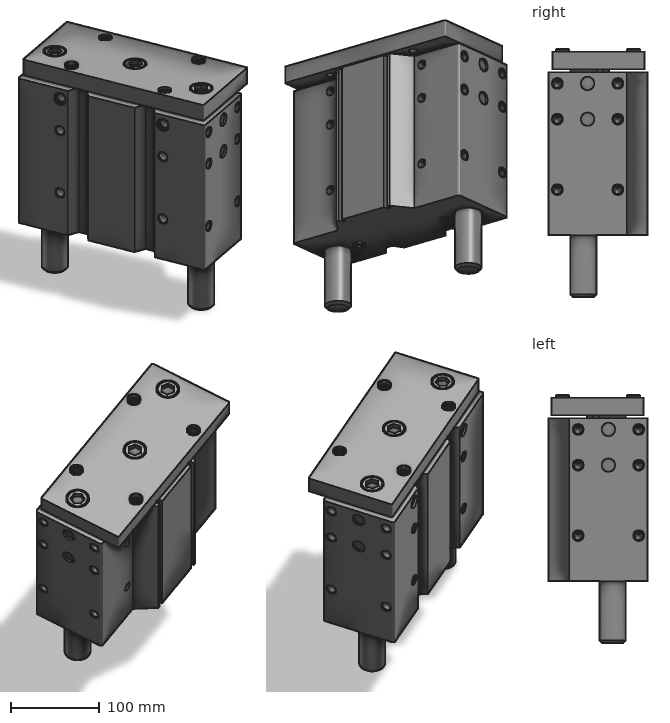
import cadquery as cq
import math

overall_height = 280.0
collar_rise = 3.0
plate_thickness = 20.0
plate_gap = 3.0
housing_height = 184.2
plate_top = overall_height - collar_rise
plate_bottom = plate_top - plate_thickness
housing_top = plate_bottom - plate_gap
housing_bottom = housing_top - housing_height

housing_width = 240.0
housing_depth = 112.0
front_y = -housing_depth / 2
back_y = housing_depth / 2
shoulder_y = 32.5
ridge_half_width = 38.5
ridge_foot_half_width = 55.5
corner_radius = 2.8
front_groove_center = 42.8
front_groove_mouth = 26.0
front_groove_floor = 11.5
front_groove_flank_angle = 60.0
sensor_slot_center = 32.7
sensor_slot_width = 5.0
sensor_slot_depth = 5.5

tapped_diameter = 10.0
countersink_diameter = 12.3
countersink_angle = 90.0
hole_heights = (241.0, 200.7, 121.2)
front_hole_x = 66.0
sleeve_diameter = 15.0
sleeve_seat_depth = 3.0
side_hole_depth = 25.2
drill_point_angle = 118.0
side_axis_y = -11.8
side_hole_offset = 34.1
port_diameter = 15.0
port_depth = 2.8
port_heights = hole_heights[:2]
foot_collar_rise = 2.0
foot_collar_x = 63.0

plate_width = 232.0
plate_back_y = 52.5
plate_front_y = -51.5
plate_corner_radius = 1.5
plate_hole_x = 60.0
plate_hole_y = 40.0
collar_chamfer = 0.8

guide_diameter = 30.0
guide_chamfer = 3.0
guide_x = 94.0
guide_y = -16.5
piston_rod_diameter = 25.0
piston_rod_flats = 22.5
piston_rod_depth = 140.0
screw_head_diameter = 24.0
screw_head_height = 16.0
screw_head_chamfer = 0.8
screw_shank_diameter = 16.8
screw_thread_depth = 28.0
screw_clearance_diameter = 18.0
screw_counterbore_diameter = 26.0
hex_across_flats = 14.0
hex_depth = 5.5
screw_tip = plate_bottom - screw_thread_depth

guide_places = [(-guide_x, guide_y), (guide_x, guide_y)]
rod_places = [guide_places[0], (0, 0), guide_places[1]]
socket_turns = (30, 30, 0)


def cylinder_z(x, y, diameter, bottom, top):
    """Upright cylinder between two heights."""
    disc = cq.Workplane("XY", origin=(x, y, bottom)).circle(diameter / 2)
    return disc.extrude(top - bottom)


def cone(start, direction, diameter, tip_angle):
    """Cone with its base at start and its point along direction."""
    height = diameter / 2 / math.tan(math.radians(tip_angle / 2))
    solid = cq.Solid.makeCone(diameter / 2, 0, height, cq.Vector(start), cq.Vector(direction))
    return cq.Workplane(obj=solid)


def bore(start, direction, diameter, depth):
    """Cylinder from start along direction."""
    solid = cq.Solid.makeCylinder(diameter / 2, depth, cq.Vector(start), cq.Vector(direction))
    return cq.Workplane(obj=solid)


def housing_block():
    """Extruded profile with a tapered ridge along the back."""
    half_width = housing_width / 2
    block = (
        cq.Workplane("XY", origin=(0, 0, housing_bottom))
        .polyline([
            (-half_width, front_y),
            (half_width, front_y),
            (half_width, shoulder_y),
            (ridge_foot_half_width, shoulder_y),
            (ridge_half_width, back_y),
            (-ridge_half_width, back_y),
            (-ridge_foot_half_width, shoulder_y),
            (-half_width, shoulder_y),
        ])
        .close()
        .extrude(housing_height)
    )
    return block.edges("|Z and (<X or >X)").fillet(corner_radius)


def front_groove(center_x):
    """Full-height groove with steep sloping flanks in the front face."""
    mouth = front_groove_mouth / 2
    floor = front_groove_floor / 2
    depth = (mouth - floor) * math.tan(math.radians(front_groove_flank_angle))
    return (
        cq.Workplane("XY", origin=(center_x, front_y, housing_bottom))
        .polyline([(-mouth, 0), (mouth, 0), (floor, depth), (-floor, depth)])
        .close()
        .extrude(housing_height)
    )


def sensor_slot(center_x):
    """Full-height slot in the back ridge."""
    return (
        cq.Workplane("XY", origin=(center_x, back_y - sensor_slot_depth / 2, housing_bottom))
        .rect(sensor_slot_width, sensor_slot_depth)
        .extrude(housing_height)
    )


def front_hole(x, z):
    """Through hole from front to back with a countersunk mouth."""
    start = (x, front_y, z)
    drill = bore(start, (0, 1, 0), tapped_diameter, housing_depth)
    return drill.union(cone(start, (0, 1, 0), countersink_diameter, countersink_angle))


def side_hole(side, y, z):
    """Blind hole with a countersunk mouth and a conical drill point."""
    inward = (-side, 0, 0)
    start = (side * housing_width / 2, y, z)
    end = (side * (housing_width / 2 - side_hole_depth), y, z)
    drill = bore(start, inward, tapped_diameter, side_hole_depth)
    drill = drill.union(cone(end, inward, tapped_diameter, drill_point_angle))
    return drill.union(cone(start, inward, countersink_diameter, countersink_angle))


def make_housing():
    """Housing with its grooves, holes, recesses, foot collars and rod bores."""
    housing = housing_block()
    for side in (-1, 1):
        housing = housing.cut(front_groove(side * front_groove_center))
        housing = housing.cut(sensor_slot(side * sensor_slot_center))
        for z in hole_heights:
            housing = housing.cut(front_hole(side * front_hole_x, z))
            for y_step in (-side_hole_offset, side_hole_offset):
                housing = housing.cut(side_hole(side, side_axis_y + y_step, z))
        sleeve_seat = (side * front_hole_x, front_y, hole_heights[0])
        seat_floor = (side * front_hole_x, front_y + sleeve_seat_depth, hole_heights[0])
        housing = housing.cut(bore(sleeve_seat, (0, 1, 0), sleeve_diameter, sleeve_seat_depth))
        housing = housing.cut(cone(seat_floor, (0, 1, 0), countersink_diameter, countersink_angle))
        for z in port_heights:
            port = (side * housing_width / 2, side_axis_y, z)
            housing = housing.cut(bore(port, (-side, 0, 0), port_diameter, port_depth))
        foot_bottom = housing_bottom - foot_collar_rise
        foot_x = side * foot_collar_x
        housing = housing.union(cylinder_z(foot_x, guide_y, sleeve_diameter, foot_bottom, housing_bottom))
        housing = housing.cut(cylinder_z(foot_x, guide_y, tapped_diameter, foot_bottom, housing_bottom))
    for x, y in guide_places:
        housing = housing.cut(cylinder_z(x, y, guide_diameter, housing_bottom, housing_top))
    return housing.cut(cylinder_z(0, 0, piston_rod_diameter, housing_top - piston_rod_depth, housing_top))


def make_plate():
    """End plate with two raised locating collars and two open sleeve seats, on opposite diagonals."""
    plate = (
        cq.Workplane("XY", origin=(0, (plate_back_y + plate_front_y) / 2, plate_bottom))
        .rect(plate_width, plate_back_y - plate_front_y)
        .extrude(plate_thickness)
        .edges("|Z")
        .fillet(plate_corner_radius)
    )
    seat_floor = plate_top - sleeve_seat_depth
    for side in (-1, 1):
        x = side * plate_hole_x
        collar_y = side * plate_hole_y
        collar = cylinder_z(x, collar_y, sleeve_diameter, plate_top, overall_height)
        plate = plate.union(collar.faces(">Z").edges().chamfer(collar_chamfer))
        plate = plate.cut(cylinder_z(x, collar_y, countersink_diameter, seat_floor, overall_height))
        plate = plate.cut(cylinder_z(x, -collar_y, sleeve_diameter, seat_floor, plate_top))
        for y in (-plate_hole_y, plate_hole_y):
            plate = plate.cut(cylinder_z(x, y, tapped_diameter, plate_bottom, overall_height))
            plate = plate.cut(cone((x, y, seat_floor), (0, 0, -1), countersink_diameter, countersink_angle))
    for x, y in rod_places:
        head_seat = plate_top - screw_head_height
        plate = plate.cut(cylinder_z(x, y, screw_clearance_diameter, plate_bottom, plate_top))
        plate = plate.cut(cylinder_z(x, y, screw_counterbore_diameter, head_seat, plate_top))
    return plate


def make_guide_rod(x, y):
    """Rod with a chamfered lower end and a blind hole for its screw."""
    rod = cylinder_z(x, y, guide_diameter, 0, plate_bottom).faces("<Z").edges().chamfer(guide_chamfer)
    return rod.cut(cylinder_z(x, y, screw_shank_diameter, screw_tip, plate_bottom))


def make_piston_rod():
    """Rod with two wrench flats facing +X and -X between the housing and the plate."""
    rod = cylinder_z(0, 0, piston_rod_diameter, housing_top - piston_rod_depth, housing_top)
    neck = cylinder_z(0, 0, piston_rod_diameter, housing_top, plate_bottom)
    flats = (
        cq.Workplane("XY", origin=(0, 0, housing_top))
        .rect(piston_rod_flats, piston_rod_diameter)
        .extrude(plate_gap)
    )
    rod = rod.union(neck.intersect(flats))
    return rod.cut(cylinder_z(0, 0, screw_shank_diameter, screw_tip, plate_bottom))


def make_screw(x, y, hex_turn):
    """Socket-head screw, its head flush with the plate."""
    head_bottom = plate_top - screw_head_height
    head = cylinder_z(x, y, screw_head_diameter, head_bottom, plate_top)
    head = head.faces(">Z").edges().chamfer(screw_head_chamfer)
    socket = (
        cq.Workplane("XY", origin=(x, y, plate_top - hex_depth))
        .transformed(rotate=(0, 0, hex_turn))
        .polygon(6, hex_across_flats / math.cos(math.pi / 6))
        .extrude(hex_depth)
    )
    return head.cut(socket).union(cylinder_z(x, y, screw_shank_diameter, screw_tip, head_bottom))


housing = make_housing()
plate = make_plate()
piston_rod = make_piston_rod()
guide_rods = [make_guide_rod(x, y) for x, y in guide_places]
screws = [make_screw(x, y, turn) for (x, y), turn in zip(rod_places, socket_turns)]

result = cq.Compound.makeCompound([
    housing.val(),
    plate.val(),
    piston_rod.val(),
    *[rod.val() for rod in guide_rods],
    *[screw.val() for screw in screws],
])